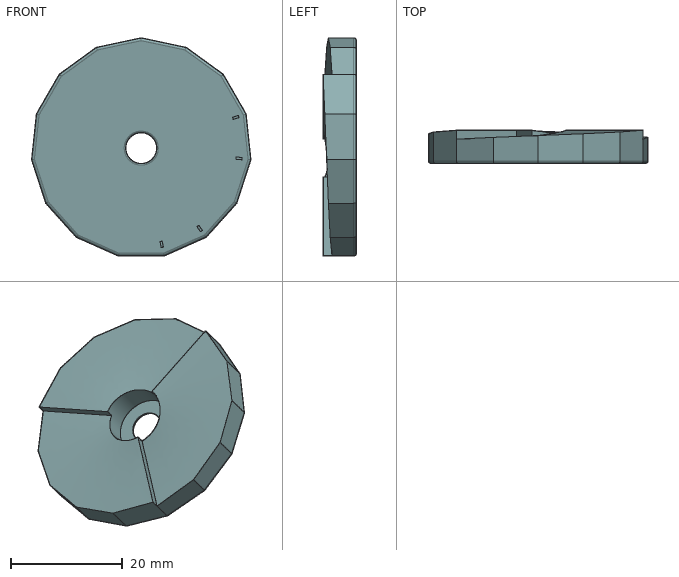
import math
import cadquery as cq

side_count = 15
corner_radius = 19.748
disc_thickness = 5.98
rim_fillet = 0.5

ramp_count = 3
ramp_rise = 1.6
ramp_bottom = disc_thickness - ramp_rise
ramp_sweep = 360 / ramp_count
first_step_angle = 18
cutter_inner_radius = 4.0
cutter_outer_radius = 22.0
cutter_height = 3.0

hub_radius = 5.25
hub_floor = 0.5

bore_radius = 2.75
bore_fillet = 0.3

marks = ((18, 17.8), (-6, 17.6), (-54, 17.8), (-78, 17.6))
mark_length = 1.1
mark_width = 0.4
mark_depth = 0.2


def make_disc():
    """Polygonal disc with one corner at the top and a rounded front rim."""
    corners = []
    for index in range(side_count):
        angle = math.radians(90 + index * 360 / side_count)
        corners.append((corner_radius * math.cos(angle), corner_radius * math.sin(angle)))
    disc = cq.Workplane("XZ").polyline(corners).close().extrude(-disc_thickness)
    return disc.faces("<Y").edges().fillet(rim_fillet)


def turned(shape, angle):
    """Turn a shape about the disc axis, from +X towards +Z."""
    return shape.rotate((0, 0, 0), (0, -1, 0), angle)


def helix(radius, height):
    """Helical edge along +Z spanning one ramp, starting at the given height."""
    pitch = ramp_rise * ramp_count
    wire = cq.Wire.makeHelix(pitch, ramp_rise, radius, cq.Vector(0, 0, height))
    return wire.Edges()[0]


def make_ramp_cutter():
    """Solid above one helical ramp, built along +Z and then turned to lie along +Y."""
    top = ramp_bottom + cutter_height
    inner_low = helix(cutter_inner_radius, ramp_bottom)
    outer_low = helix(cutter_outer_radius, ramp_bottom)
    inner_high = helix(cutter_inner_radius, top)
    outer_high = helix(cutter_outer_radius, top)
    loop = (inner_low, outer_low, outer_high, inner_high)
    faces = []
    for index, edge in enumerate(loop):
        faces.append(cq.Face.makeRuledSurface(edge, loop[index - 1]))
    for end in (0, 1):
        points = [edge.positionAt(end) for edge in loop]
        faces.append(cq.Face.makeFromWires(cq.Wire.makePolygon(points, close=True)))
    cutter = cq.Solid.makeSolid(cq.Shell.makeShell(faces))
    return cutter.fix().rotate(cq.Vector(0, 0, 0), cq.Vector(1, 0, 0), -90)


def cut_ramps(body):
    """Cut the helical ramps into the back face."""
    cutter = cq.Workplane(make_ramp_cutter())
    for index in range(ramp_count):
        turn = first_step_angle + index * ramp_sweep
        body = body.cut(turned(cutter, turn))
    return body


def cut_hub_recess(body):
    """Sink the flat recess around the bore, open at the back."""
    recess = cq.Workplane("XZ", origin=(0, hub_floor, 0)).circle(hub_radius)
    return body.cut(recess.extrude(hub_floor - disc_thickness))


def cut_bore(body):
    """Drill the through bore and round its front edge."""
    bore = cq.Workplane("XZ").circle(bore_radius).extrude(-disc_thickness)
    front_edge = cq.selectors.BoxSelector(
        (-hub_radius, -bore_fillet, -hub_radius),
        (hub_radius, bore_fillet, hub_radius),
    )
    return body.cut(bore).edges(front_edge).fillet(bore_fillet)


def cut_marks(body):
    """Engrave the radial index marks."""
    for angle, center_radius in marks:
        outline = cq.Workplane("XZ").center(center_radius, 0).rect(mark_length, mark_width)
        body = body.cut(turned(outline.extrude(-mark_depth), angle))
    return body


disc = make_disc()
ramped_disc = cut_hub_recess(cut_ramps(disc))
result = cut_marks(cut_bore(ramped_disc))